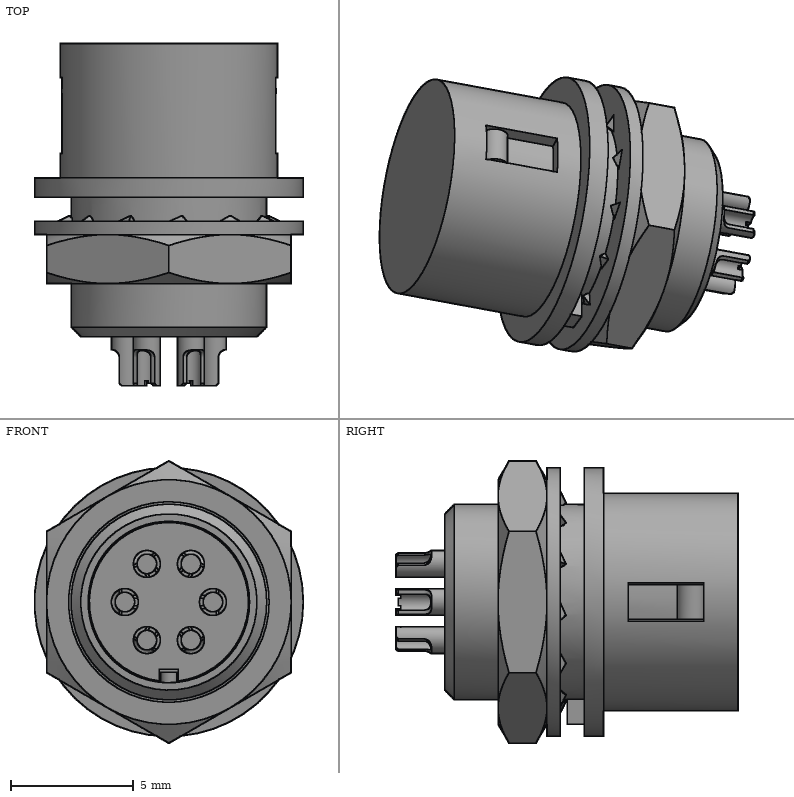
import cadquery as cq
import math


BARREL_RADIUS = 4.45
BARREL_LENGTH = 5.5
FLANGE_RADIUS = 5.5
FLANGE_THICKNESS = 0.8
THREAD_RADIUS = 4.0
THREAD_LENGTH = 5.7
THREAD_CHAMFER = 0.4
FRONT_Y = -THREAD_LENGTH
BARREL_END_Y = FLANGE_THICKNESS + BARREL_LENGTH

KEY_WIDTH = 1.0
KEY_LENGTH = 0.7
KEY_OUTER_RADIUS = 5.0

WASHER_RADIUS = FLANGE_RADIUS
WASHER_THICKNESS = 0.55
WASHER_TOP_Y = -0.97
WASHER_BOTTOM_Y = WASHER_TOP_Y - WASHER_THICKNESS
TOOTH_COUNT = 12
TOOTH_HEIGHT = 0.23
TOOTH_INNER_RADIUS = 3.9
TOOTH_TIP_RADIUS = 4.1
TOOTH_OUTER_RADIUS = 4.59
TOOTH_STEEP_WIDTH = 0.12
TOOTH_SLOPE_WIDTH = 0.52
FIRST_TOOTH_ANGLE = 22.3
NUT_SIDES = 6
NUT_ACROSS_FLATS = 10.0
NUT_THICKNESS = 2.0
NUT_BORE_RADIUS = 4.1
NUT_CHAMFER_ANGLE = 30.0

RECESS_RADIUS = 3.3
INSERT_RADIUS = 3.25
RECESS_DEPTH = 0.5
INSERT_GROOVE_DEPTH = 0.1
NOTCH_WIDTH = 0.78
NOTCH_TOP_RADIUS = 2.75
NOTCH_DEPTH = 1.0
NOTCH_KEY_RADIUS = 0.33
NOTCH_KEY_TOP_RADIUS = 2.87

WINDOW_START = 1.4
WINDOW_LENGTH = 3.1
WINDOW_HALF_ANGLE = 10.3
WINDOW_FLOOR_RADIUS = 3.92
LATCH_RADIUS = 0.55
LATCH_CREST_RADIUS = 4.39

PIN_COUNT = 6
PIN_CIRCLE_RADIUS = 1.8
PIN_RADIUS = 0.55
PIN_LENGTH = 2.0
CUP_RADIUS = 0.4
CUP_DEPTH = 2.0
CUP_OPENING_START = 0.53
CUP_OPENING_OFFSET = 0.23
LIP_CHAMFER = 0.1
END_NOTCH_WIDTH = 0.54
END_NOTCH_DEPTH = 0.2
END_TONGUE_WIDTH = 0.32
END_TONGUE_RECESS = 0.1

OVERLAP = 0.2


def disc(radius, y_high, y_low):
    """Cylinder about the connector axis between two heights."""
    return cq.Workplane("XZ", origin=(0, y_high, 0)).circle(radius).extrude(y_high - y_low)


def block(x_range, y_range, z_range):
    """Axis-aligned box given by its limits."""
    sizes = [high - low for low, high in (x_range, y_range, z_range)]
    corner = (x_range[0], y_range[0], z_range[0])
    return cq.Workplane("XY").box(*sizes, centered=False).translate(corner)


def turn(shape, angle):
    """Rotate about the connector axis, from +X towards +Z."""
    return shape.rotate((0, 0, 0), (0, 1, 0), -angle)


def make_shell():
    barrel = disc(BARREL_RADIUS, BARREL_END_Y, FLANGE_THICKNESS)
    flange = disc(FLANGE_RADIUS, FLANGE_THICKNESS, 0)
    thread = disc(THREAD_RADIUS, 0, FRONT_Y).faces("<Y").chamfer(THREAD_CHAMFER)
    key = block(
        (-KEY_WIDTH / 2, KEY_WIDTH / 2),
        (-KEY_LENGTH, 0),
        (-KEY_OUTER_RADIUS, -THREAD_RADIUS + OVERLAP),
    )
    return barrel.union(flange).union(thread).union(key)


def make_tooth():
    """Pyramid on a three-cornered base, steep on one side of its tip and sloping on the other."""
    base_y = WASHER_TOP_Y - WASHER_THICKNESS / 2
    outline = [
        (TOOTH_INNER_RADIUS, -TOOTH_STEEP_WIDTH),
        (TOOTH_OUTER_RADIUS, -TOOTH_STEEP_WIDTH),
        (TOOTH_TIP_RADIUS, TOOTH_SLOPE_WIDTH),
    ]
    base = [cq.Vector(x, base_y, z) for x, z in outline]
    rim = [cq.Vector(x, WASHER_TOP_Y, z) for x, z in outline]
    tip = cq.Vector(TOOTH_TIP_RADIUS, WASHER_TOP_Y + TOOTH_HEIGHT, 0)

    def face(*corners):
        return cq.Face.makeFromWires(cq.Wire.makePolygon(list(corners), close=True))

    faces = [face(*base)]
    for i in range(len(outline)):
        j = (i + 1) % len(outline)
        faces.append(face(base[i], base[j], rim[j], rim[i]))
        faces.append(face(rim[i], rim[j], tip))
    return cq.Workplane(cq.Solid.makeSolid(cq.Shell.makeShell(faces)))


def make_washer():
    washer = disc(WASHER_RADIUS, WASHER_TOP_Y, WASHER_BOTTOM_Y)
    tooth = make_tooth()
    for i in range(TOOTH_COUNT):
        washer = washer.union(turn(tooth, FIRST_TOOTH_ANGLE + i * 360 / TOOTH_COUNT))
    return washer


def make_nut():
    """Hexagon with corners on +Z and -Z, both ends chamfered by a cone."""
    flat_radius = NUT_ACROSS_FLATS / 2
    corner_radius = flat_radius / math.cos(math.pi / NUT_SIDES)
    drop = (corner_radius - flat_radius) * math.tan(math.radians(NUT_CHAMFER_ANGLE))
    top = WASHER_BOTTOM_Y
    bottom = top - NUT_THICKNESS
    hexagon = (
        cq.Workplane("XZ", origin=(0, top, 0))
        .transformed(rotate=(0, 0, 180 / NUT_SIDES))
        .polygon(NUT_SIDES, 2 * corner_radius)
        .extrude(NUT_THICKNESS)
    )
    envelope = (
        cq.Workplane("XY")
        .moveTo(0, top)
        .lineTo(flat_radius, top)
        .lineTo(corner_radius, top - drop)
        .lineTo(corner_radius, bottom + drop)
        .lineTo(flat_radius, bottom)
        .lineTo(0, bottom)
        .close()
        .revolve(360, (0, 0, 0), (0, 1, 0))
    )
    return hexagon.intersect(envelope).cut(disc(NUT_BORE_RADIUS, top, bottom))


def cut_recess(body):
    floor_y = FRONT_Y + RECESS_DEPTH
    groove = disc(RECESS_RADIUS, floor_y + INSERT_GROOVE_DEPTH, floor_y)
    groove = groove.cut(disc(INSERT_RADIUS, floor_y + INSERT_GROOVE_DEPTH, floor_y))
    return body.cut(disc(RECESS_RADIUS, floor_y, FRONT_Y)).cut(groove)


def cut_notch(body):
    """Coding notch at the bottom of the insert, with a round-nosed key inside."""
    floor_y = FRONT_Y + RECESS_DEPTH
    end_y = floor_y + NOTCH_DEPTH
    half_width = NOTCH_WIDTH / 2
    notch = block(
        (-half_width, half_width), (floor_y, end_y), (-RECESS_RADIUS, -NOTCH_TOP_RADIUS)
    ).intersect(disc(RECESS_RADIUS, end_y, floor_y))
    key = (
        cq.Workplane("XY", origin=(0, end_y, -RECESS_RADIUS))
        .circle(NOTCH_KEY_RADIUS)
        .extrude(RECESS_RADIUS - NOTCH_KEY_TOP_RADIUS)
    )
    return body.cut(notch.cut(key))


def cut_window(body, side_angle):
    """Window with radial walls, holding a latch rounded about a line along Z."""
    high = BARREL_END_Y - WINDOW_START
    low = high - WINDOW_LENGTH
    reach = BARREL_RADIUS + OVERLAP
    half_height = reach * math.tan(math.radians(WINDOW_HALF_ANGLE))
    sector = (
        cq.Workplane("XZ", origin=(0, high, 0))
        .polyline([(0, 0), (reach, -half_height), (reach, half_height)])
        .close()
        .extrude(WINDOW_LENGTH)
    )
    latch = (
        cq.Workplane("XY", origin=(LATCH_CREST_RADIUS - LATCH_RADIUS, high - LATCH_RADIUS, 0))
        .circle(LATCH_RADIUS)
        .extrude(half_height, both=True)
    )
    latch_half_height = WINDOW_FLOOR_RADIUS * math.sin(math.radians(WINDOW_HALF_ANGLE))
    latch = latch.intersect(block((0, reach), (low, high), (-latch_half_height, latch_half_height)))
    window = sector.cut(disc(WINDOW_FLOOR_RADIUS, high, low)).cut(latch)
    return body.cut(turn(window, side_angle))


def make_pin():
    """Pin on the +X side; its solder cup opens outwards, away from the axis."""
    root_y = FRONT_Y + RECESS_DEPTH + OVERLAP
    end_y = FRONT_Y - PIN_LENGTH
    pin = disc(PIN_RADIUS, root_y, end_y).cut(disc(CUP_RADIUS, end_y + CUP_DEPTH, end_y))

    start_y = FRONT_Y - CUP_OPENING_START
    arc_radius = PIN_RADIUS - CUP_OPENING_OFFSET
    arc_reach = arc_radius * math.sqrt(0.5)
    opening = (
        cq.Workplane("XY")
        .moveTo(PIN_RADIUS + OVERLAP, start_y)
        .lineTo(PIN_RADIUS, start_y)
        .threePointArc(
            (PIN_RADIUS - arc_reach, start_y - arc_radius + arc_reach),
            (CUP_OPENING_OFFSET, start_y - arc_radius),
        )
        .lineTo(CUP_OPENING_OFFSET, end_y + LIP_CHAMFER)
        .lineTo(CUP_OPENING_OFFSET - LIP_CHAMFER, end_y)
        .lineTo(PIN_RADIUS + OVERLAP, end_y)
        .close()
        .extrude(PIN_RADIUS, both=True)
    )

    notch = block(
        (-PIN_RADIUS, 0),
        (end_y, end_y + END_NOTCH_DEPTH),
        (-END_NOTCH_WIDTH / 2, END_NOTCH_WIDTH / 2),
    )
    tongue = block(
        (-PIN_RADIUS, 0),
        (end_y + END_TONGUE_RECESS, end_y + END_NOTCH_DEPTH),
        (-END_TONGUE_WIDTH / 2, END_TONGUE_WIDTH / 2),
    )
    pin = pin.cut(opening).cut(notch.cut(tongue))
    return pin.translate((PIN_CIRCLE_RADIUS, 0, 0))


body = make_shell().union(make_washer()).union(make_nut())
body = cut_recess(body)
body = cut_notch(body)
for side in (0, 180):
    body = cut_window(body, side)
solder_pin = make_pin()
for i in range(PIN_COUNT):
    body = body.union(turn(solder_pin, i * 360 / PIN_COUNT))
result = body